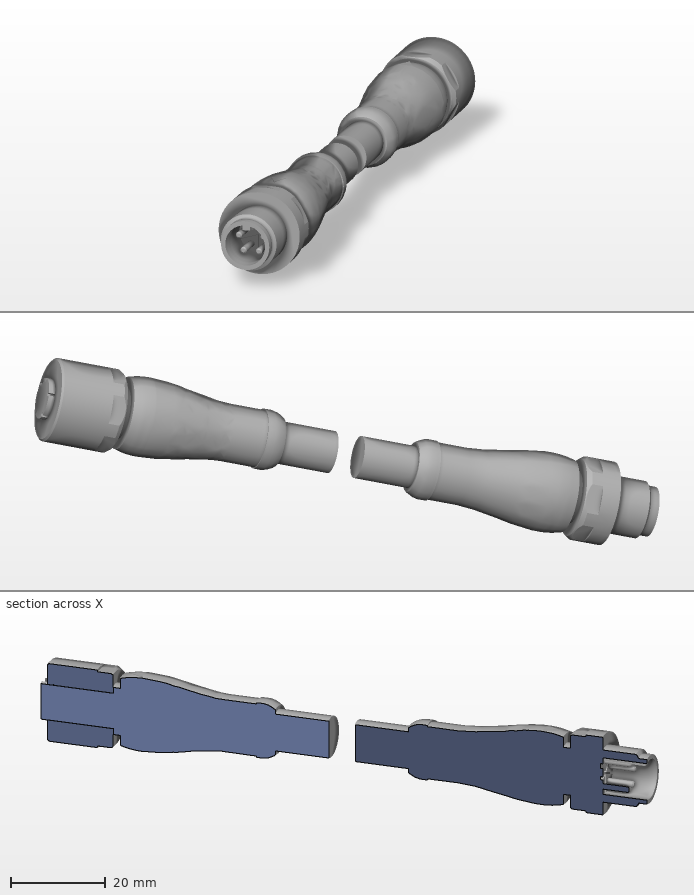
import cadquery as cq
import math

top_angle = 90

socket_end = 68.4
plug_end = -68.4
socket_grip_nose = 50.5
plug_grip_nose = -49.5

nose_radius = 7.8
belly_start_slope = 3
belly_radius = 8.5
belly_distance = 4.4
shoulder_radius = 7.4
shoulder_distance = 14.2
waist_radius = 6.4
waist_distance = 20.0
tail_radius = 6.2
collar_distance = 30.6
collar_radius = 6.4
collar_land = 0.5
collar_end_radius = 5.3
collar_bulge = 0.34
grip_length = 35.0
cable_radius = 4.5
cable_length = 12.0

arrow_tip_distance = 1.6
arrow_length = 3.1
arrow_width = 3.1
arrow_root_height = 6.8

nut_diameter = 17.9
nut_radius = nut_diameter / 2
flat_count = 6
flat_width = 6.2
flat_length = 3.4
flat_distance = math.sqrt(nut_radius**2 - (flat_width / 2) ** 2)
nut_chamfer_length = 1.0
nut_chamfer_depth = 0.7
neck_radius = 5.6

socket_nut_front = 67.0
socket_nut_rear = 52.1
socket_nut_front_chamfer = 0.4
insert_radius = 4.4
insert_slot_width = 0.5
insert_slot_depth = 0.8
key_slot_width = 1.9

plug_nut_rear = -51.0
plug_nut_front = -58.4
thread_radius = 6.2
thread_end = -66.0
thread_bevel_length = 0.5
spigot_radius = 5.3
cavity_floor = plug_nut_front
pin_count = 5
pin_pitch_radius = 2.9
pin_radius = 0.7
pin_tip_chamfer = 0.3
pin_setback = 4.1
groove_width = 0.5
groove_depth = 0.5
key_width = 1.6
key_height = 1.2
key_setback = 0.7

pin_angles = [top_angle + i * 360 / pin_count for i in range(pin_count)]
divider_angles = [angle + 180 / pin_count for angle in pin_angles]


def rod(radius, start, end):
    """Cylinder on the Y axis from start to end."""
    direction = cq.Vector(0, math.copysign(1, end - start), 0)
    return cq.Workplane(cq.Solid.makeCylinder(radius, abs(end - start), cq.Vector(0, start, 0), direction))


def radial_block(width, inner, outer, start, end, angle):
    """Box between two radii and two Y stations, turned about Y to an angle measured from +X towards +Z."""
    block = cq.Workplane().box(outer - inner, abs(end - start), width)
    block = block.translate(((inner + outer) / 2, (start + end) / 2, 0))
    return block.rotate((0, 0, 0), (0, 1, 0), -angle)


def revolve_about_y(profile):
    """Close a half profile of (radius, Y) points and turn it about the Y axis."""
    return profile.close().revolve(360, (0, 0, 0), (0, 1, 0))


def grip_with_cable(nose, toward_cable):
    """Waisted grip, its end collar, cable stub and arrow; toward_cable is +1 or -1 along Y."""
    def at(radius, distance):
        return (radius, nose + toward_cable * distance)

    collar_mid_radius = (collar_radius + collar_end_radius) / 2 + collar_bulge
    collar_mid_distance = (collar_distance + collar_land + grip_length) / 2 + collar_bulge
    cable_tip = grip_length + cable_length
    flank = [
        at(belly_radius, belly_distance),
        at(shoulder_radius, shoulder_distance),
        at(waist_radius, waist_distance),
        at(tail_radius, collar_distance),
    ]
    belly_start = (1, toward_cable * belly_start_slope)
    tail_direction = (0, toward_cable)
    profile = (
        cq.Workplane()
        .moveTo(*at(0, 0))
        .lineTo(*at(nose_radius, 0))
        .spline(flank, tangents=[belly_start, tail_direction], includeCurrent=True)
        .lineTo(*at(collar_radius, collar_distance))
        .lineTo(*at(collar_radius, collar_distance + collar_land))
        .threePointArc(at(collar_mid_radius, collar_mid_distance), at(collar_end_radius, grip_length))
        .lineTo(*at(cable_radius, grip_length))
        .lineTo(*at(cable_radius, cable_tip))
        .lineTo(*at(0, cable_tip))
    )
    arrow_base = arrow_tip_distance + arrow_length
    arrow = (
        cq.Workplane()
        .workplane(offset=arrow_root_height)
        .polyline([
            at(0, arrow_tip_distance),
            at(arrow_width / 2, arrow_base),
            at(-arrow_width / 2, arrow_base),
        ])
        .close()
        .extrude(belly_radius - arrow_root_height)
    )
    return revolve_about_y(profile).union(arrow)


def nut_blank(rear, front):
    """Solid nut with a bevelled rear rim and six spanner flats at the rear end."""
    forward = math.copysign(1, front - rear)
    blank = revolve_about_y(
        cq.Workplane()
        .moveTo(0, rear)
        .lineTo(nut_radius - nut_chamfer_depth, rear)
        .lineTo(nut_radius, rear + forward * nut_chamfer_length)
        .lineTo(nut_radius, front)
        .lineTo(0, front)
    )
    for i in range(flat_count):
        angle = top_angle + i * 360 / flat_count
        flat_end = rear + forward * flat_length
        blank = blank.cut(radial_block(2 * nut_radius, flat_distance, 2 * nut_radius, rear, flat_end, angle))
    return blank


def make_socket():
    """Socket grip and cable with the neck and the slotted insert that carries the nut."""
    body = grip_with_cable(socket_grip_nose, -1)
    body = body.union(rod(neck_radius, socket_grip_nose, socket_nut_rear))
    body = body.union(rod(insert_radius, socket_nut_rear, socket_end))
    slot_floor = insert_radius - insert_slot_depth
    slots = [(insert_slot_width, angle) for angle in divider_angles] + [(key_slot_width, top_angle)]
    for width, angle in slots:
        body = body.cut(radial_block(width, slot_floor, nut_radius, socket_nut_front, socket_end, angle))
    return body


def make_socket_nut():
    """Coupling nut around the socket insert."""
    nut = nut_blank(socket_nut_rear, socket_nut_front).faces(">Y").chamfer(socket_nut_front_chamfer)
    return nut.cut(rod(insert_radius, socket_nut_rear, socket_nut_front))


def make_plug():
    """Plug grip and cable with its collar nut, threaded tube, pins and polarising key."""
    body = grip_with_cable(plug_grip_nose, 1)
    body = body.union(rod(neck_radius, plug_grip_nose, plug_nut_rear))
    body = body.union(nut_blank(plug_nut_rear, plug_nut_front))
    bevel_end = thread_end - thread_bevel_length
    tube = revolve_about_y(
        cq.Workplane()
        .moveTo(0, plug_nut_front)
        .lineTo(thread_radius, plug_nut_front)
        .lineTo(thread_radius, thread_end)
        .lineTo(spigot_radius, bevel_end)
        .lineTo(spigot_radius, plug_end)
        .lineTo(0, plug_end)
    )
    body = body.union(tube).cut(rod(insert_radius, cavity_floor, plug_end))
    for angle in divider_angles:
        groove_bottom = cavity_floor + groove_depth
        body = body.cut(radial_block(groove_width, 0, insert_radius, cavity_floor, groove_bottom, angle))
    for angle in pin_angles:
        x = pin_pitch_radius * math.cos(math.radians(angle))
        z = pin_pitch_radius * math.sin(math.radians(angle))
        pin = rod(pin_radius, cavity_floor + groove_depth, plug_end + pin_setback)
        pin = pin.faces("<Y").chamfer(pin_tip_chamfer)
        body = body.union(pin.translate((x, 0, z)))
    key_crest = insert_radius - key_height
    key_root = (insert_radius + spigot_radius) / 2
    key = radial_block(key_width, key_crest, key_root, cavity_floor, plug_end + key_setback, top_angle)
    body = body.union(key)
    return body


socket = make_socket()
socket_nut = make_socket_nut()
plug = make_plug()

result = cq.Compound.makeCompound([socket.val(), socket_nut.val(), plug.val()])